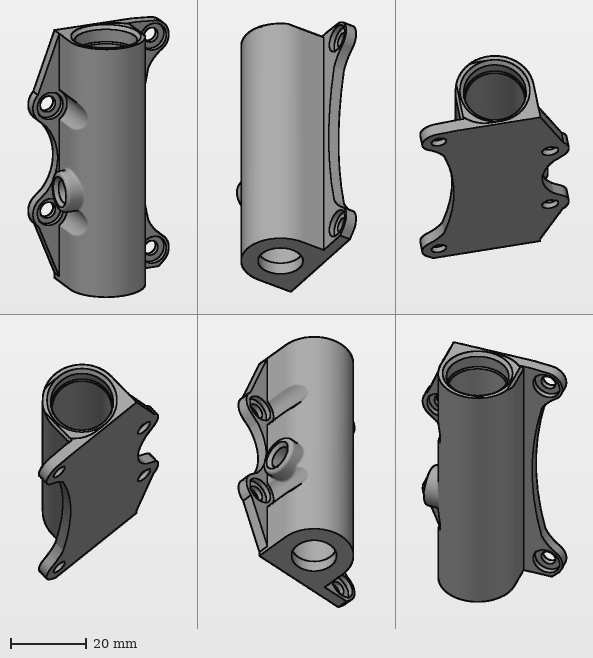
import cadquery as cq
import math

height = 70.0
body_radius = 10.5
plate_outer_x = -10.1
plate_thickness = 3.15
plate_inner_x = plate_outer_x + plate_thickness
mid_z = height / 2

corner_lug_y = 16.95
corner_lug_radius = 4.55
corner_lug_inset = 4.9
corner_hole_diameter = 4.0
side_lug_y = -13.15
side_lug_radius = 5.05
side_lug_offset = 15.0
side_hole_diameter = 4.4
lug_counterbore_diameter = 7.5
lug_counterbore_depth = 1.55
side_lug_heights = (mid_z - side_lug_offset, mid_z + side_lug_offset)
corner_lug_heights = (corner_lug_inset, height - corner_lug_inset)

top_edge_end_y = 12.2
lower_flank_z = 1.4
side_recess_y = -11.0
side_recess_end_y = -14.15
side_recess_half_height = 9.1
hollow_y = 12.9
hollow_end_y = 15.55
hollow_half_height = 21.6
neck_mid_y = 17.2
neck_mid_offset = 24.2

bore_diameter = 12.0
chamber_diameter = 15.8
chamber_floor_z = 3.5
mouth_diameter = 16.6
mouth_depth = 4.55
mouth_step = 0.4
mouth_chamfer = 1.0

relief_radius = 9.3
relief_shift_y = 2.9
relief_depth = 0.1
rim_chamfer = 0.85

groove_radius = 4.9
groove_edge_radius = 0.55

port_z = 27.9
port_diameter = 11.1
port_end_y = -13.5
port_rim_radius = 1.0
port_base_radius = 0.8
port_hole_diameter = 6.1
port_mouth_diameter = 8.2

select_margin = 0.1


def lug_point(y, z, radius, angle):
    """Point on a lug edge; the angle is measured from +Y towards +Z."""
    turn = math.radians(angle)
    return y + radius * math.cos(turn), z + radius * math.sin(turn)


def cylinder_x(y, z, diameter, start_x, length):
    circle = cq.Workplane("YZ", origin=(start_x, y, z)).circle(diameter / 2)
    return circle.extrude(length)


def cylinder_y(diameter, start_y, end_y):
    """Cylinder on the port axis."""
    circle = cq.Workplane("XZ", origin=(0, start_y, port_z)).circle(diameter / 2)
    return circle.extrude(start_y - end_y)


def make_plate():
    low_side, high_side = side_lug_heights
    low_corner, high_corner = corner_lug_heights

    def corner(z, angle):
        return lug_point(corner_lug_y, z, corner_lug_radius, angle)

    def side(z, angle):
        return lug_point(side_lug_y, z, side_lug_radius, angle)

    bottom_corner_y = corner_lug_y + corner_lug_radius * math.sqrt(2) - corner_lug_inset
    outline = (
        cq.Workplane("YZ", origin=(plate_outer_x, 0, 0))
        .moveTo(-body_radius, 0)
        .lineTo(bottom_corner_y, 0)
        .lineTo(*corner(low_corner, -45))
        .threePointArc(corner(low_corner, 0), corner(low_corner, 54))
        .threePointArc((neck_mid_y, mid_z - neck_mid_offset), (hollow_end_y, mid_z - hollow_half_height))
        .threePointArc((hollow_y, mid_z), (hollow_end_y, mid_z + hollow_half_height))
        .threePointArc((neck_mid_y, mid_z + neck_mid_offset), corner(high_corner, -54))
        .threePointArc(corner(high_corner, 0), corner(high_corner, 90))
        .lineTo(top_edge_end_y, height)
        .lineTo(-body_radius, height)
        .lineTo(*side(high_side, 135))
        .threePointArc(side(high_side, 180), side(high_side, 231))
        .lineTo(side_recess_end_y, mid_z + side_recess_half_height)
        .threePointArc((side_recess_y, mid_z), (side_recess_end_y, mid_z - side_recess_half_height))
        .lineTo(*side(low_side, 129))
        .threePointArc(side(low_side, 180), side(low_side, 229))
        .lineTo(-body_radius, lower_flank_z)
        .close()
    )
    return outline.extrude(plate_thickness)


def rim_wedge():
    """Sloped flat along the top edge on the +Y side."""
    wedge = (
        cq.Workplane("YZ", origin=(plate_inner_x, 0, 0))
        .moveTo(body_radius - rim_chamfer, height)
        .lineTo(body_radius, height)
        .lineTo(body_radius, height - rim_chamfer)
        .close()
    )
    return wedge.extrude(body_radius - plate_inner_x)


def make_body():
    """D-shaped body with bolt clearance grooves on its -Y side."""
    body = (
        cq.Workplane("XY")
        .moveTo(plate_inner_x, -body_radius)
        .lineTo(0, -body_radius)
        .threePointArc((body_radius, 0), (0, body_radius))
        .lineTo(plate_inner_x, body_radius)
        .close()
        .extrude(height)
    )
    body = body.cut(rim_wedge())
    for z in side_lug_heights:
        groove = cylinder_x(side_lug_y, z, 2 * groove_radius, plate_inner_x, body_radius - plate_inner_x)
        body = body.cut(groove)
    return body.newObject(groove_edges(body)).fillet(groove_edge_radius)


def groove_edges(body):
    """Long edges where the grooves run out of the body."""
    edges = []
    for z in side_lug_heights:
        box = cq.selectors.BoxSelector(
            (plate_inner_x + select_margin, -body_radius - select_margin, z - groove_radius),
            (body_radius, 0, z + groove_radius),
        )
        edges += body.edges(box).vals()
    return edges


def add_port(body):
    """Side port with a rounded rim and a fillet around its base."""
    port = cylinder_y(port_diameter, 0, port_end_y).faces("<Y").edges().fillet(port_rim_radius)
    joined = body.union(port)
    reach = port_diameter / 2 + select_margin
    around_base = cq.selectors.BoxSelector(
        (-reach, -body_radius - select_margin, port_z - reach),
        (reach, -body_radius / 2, port_z + reach),
        boundingbox=True,
    )
    return joined.edges(around_base).fillet(port_base_radius)


def port_hole():
    """Hole from the main bore to the port rim, opening in a 45 degree cone."""
    hole, mouth = port_hole_diameter / 2, port_mouth_diameter / 2
    length = -port_end_y
    profile = (
        cq.Workplane("XY", origin=(0, 0, port_z))
        .lineTo(hole, 0)
        .lineTo(hole, -(length - (mouth - hole)))
        .lineTo(mouth, -length)
        .lineTo(0, -length)
        .close()
    )
    return profile.revolve(360, (0, 0, 0), (0, 1, 0))


def main_bore():
    """Stepped bore, turned about the Z axis."""
    bore, chamber, mouth = bore_diameter / 2, chamber_diameter / 2, mouth_diameter / 2
    mouth_z = height - mouth_depth
    top = height - relief_depth
    profile = (
        cq.Workplane("XZ")
        .lineTo(bore, 0)
        .lineTo(bore, chamber_floor_z)
        .lineTo(chamber, chamber_floor_z)
        .lineTo(chamber, mouth_z - mouth_step)
        .lineTo(mouth, mouth_z)
        .lineTo(mouth, top - mouth_chamfer)
        .lineTo(relief_radius, top)
        .lineTo(relief_radius, height)
        .lineTo(0, height)
        .close()
    )
    return profile.revolve(360, (0, 0, 0), (0, 1, 0))


def top_relief():
    """Shallow round-ended recess around the bore, shifted towards +Y."""
    slot = cq.Workplane("XY", origin=(0, relief_shift_y / 2, height - relief_depth))
    return slot.slot2D(2 * relief_radius + relief_shift_y, 2 * relief_radius, 90).extrude(relief_depth)


def lug_hole(y, z, diameter):
    """Through hole with a counterbore from the body side of the plate."""
    hole = cylinder_x(y, z, diameter, plate_outer_x, plate_thickness)
    floor_x = plate_inner_x - lug_counterbore_depth
    counterbore = cylinder_x(y, z, lug_counterbore_diameter, floor_x, lug_counterbore_depth)
    return hole.union(counterbore)


result = add_port(make_body()).union(make_plate())
result = result.cut(main_bore()).cut(top_relief())
result = result.cut(port_hole())
for corner_z in corner_lug_heights:
    result = result.cut(lug_hole(corner_lug_y, corner_z, corner_hole_diameter))
for side_z in side_lug_heights:
    result = result.cut(lug_hole(side_lug_y, side_z, side_hole_diameter))